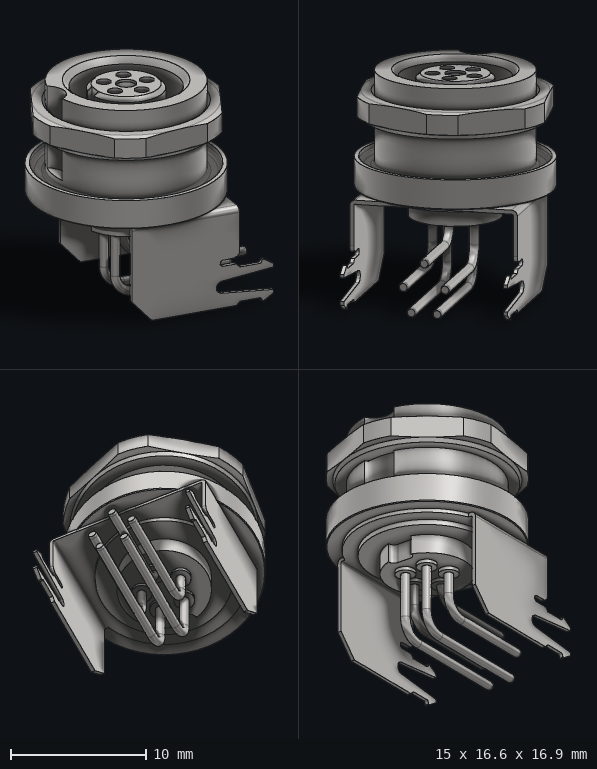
import cadquery as cq
import math


shell_radius = 6.0
flange_radius = 7.5
flange_top = -6.59
flange_bottom = -8.86
flange_edge_chamfer = 0.07
seal_groove_outer_radius = 14.3 / 2
seal_groove_inner_radius = 6.27
seal_groove_depth = 0.65
seal_groove_outer_fillet = 0.34
foot_fillet = seal_groove_inner_radius - shell_radius

bore_radius = 4.23
bore_chamfer = 0.49
bore_floor = -6.07

scallop_radius = 1.55
scallop_depth_radius = 5.04
scallop_floor = flange_top + 0.05

insert_radius = 2.93
insert_top = -0.29
insert_chamfer = 0.34
insert_shoulder_radius = 7.0 / 2
insert_shoulder_top = bore_floor + 0.5
insert_bottom = -11.12
key_slot_width = 1.11
key_slot_floor = insert_shoulder_top + 0.67
key_slot_radius = 2.55
logo_recess_radius = 0.78
logo_recess_depth = 0.2
rear_notch_width = 2.12
rear_notch_floor_width = 1.13
rear_notch_corner = (rear_notch_width - rear_notch_floor_width) / 2

contact_rows = (2, 1, 0, 0, 1)
contact_circle_radius = 1.68
socket_diameter = 1.1
socket_depth = 3.03
socket_tip_angle = 118.0
pin_diameter = 0.7
pin_boss_diameter = 1.55
pin_boss_bottom = -11.4
pin_bend_radius = 1.5
pin_end_y = 8.96
pin_end_chamfer_length = 0.19
pin_end_chamfer_width = 0.05
lowest_pin_axis = -16.85 + pin_diameter / 2
pin_row_pitch = 1.9

nut_across_flats = 14.0
nut_corner_radius = 7.5
nut_rotation = 7.5
nut_top = -1.57
nut_bottom = -3.3
nut_face_radius = nut_across_flats / 2
nut_face_bevel = 0.1
nut_bore_radius = 5.73
nut_bore_chamfer = 0.5
nut_collar_bottom = -3.64
nut_collar_end_radius = 6.84

sheet = 0.32
washer_radius = 6.3
bracket_outer_x = 6.42
bend_radius = 0.44
leg_front_y = -2.51
leg_back_y = 6.27
back_disc_radius = 5.12
back_disc_bottom = -9.6

fork_center_z = -15.05
fork_half_height = 1.67
fork_neck_half_height = 1.38
fork_tip_y = 9.05
fork_tip_outer_half = 1.18
fork_tip_inner_half = 0.9
fork_gap_root_half = 0.47
fork_gap_root_y = 4.8
fork_gap_end_y = 4.4
barb_y = 8.25
barb_flat = 0.15
neck_outer_y = 8.05
neck_fillet = 0.2
neck_inner_y = 6.32
neck_ramp = 0.3
relief_slot_width = 0.49
relief_slot_end_y = 4.7
leg_corner_radius = 0.5
leg_front_chamfer_y = 1.62
leg_front_chamfer_z = 1.74


def cylinder(radius, bottom, top):
    return cq.Workplane("XY").workplane(offset=bottom).circle(radius).extrude(top - bottom)


def revolve_profile(points):
    """Turn a closed (radius, z) outline around the Z axis."""
    return cq.Workplane("XZ").polyline(points).close().revolve(360, (0, 0), (0, 1))


def make_shell():
    shell = cylinder(shell_radius, flange_top - seal_groove_depth, 0)
    flange = (
        cylinder(flange_radius, flange_bottom, flange_top)
        .faces("<Z").edges().chamfer(flange_edge_chamfer)
    )
    groove_floor = flange_top - seal_groove_depth
    groove = (
        cq.Workplane("XZ")
        .moveTo(shell_radius, flange_top)
        .lineTo(shell_radius, groove_floor + foot_fillet)
        .radiusArc((seal_groove_inner_radius, groove_floor), -foot_fillet)
        .lineTo(seal_groove_outer_radius - seal_groove_outer_fillet, groove_floor)
        .radiusArc(
            (seal_groove_outer_radius, groove_floor + seal_groove_outer_fillet),
            -seal_groove_outer_fillet,
        )
        .lineTo(seal_groove_outer_radius, flange_top)
        .close()
        .revolve(360, (0, 0), (0, 1))
    )
    bore = revolve_profile([
        (0, 0),
        (bore_radius + bore_chamfer, 0),
        (bore_radius, -bore_chamfer),
        (bore_radius, bore_floor),
        (0, bore_floor),
    ])
    scallop = cylinder(scallop_radius, scallop_floor, 0).translate(
        (0, -scallop_depth_radius - scallop_radius, 0)
    )
    return shell.union(flange.cut(groove)).cut(bore).cut(scallop)


def make_nut():
    height = nut_top - nut_bottom
    hexagon = (
        cq.Workplane("XY").workplane(offset=nut_bottom)
        .polygon(6, nut_across_flats, circumscribed=True).extrude(height)
        .rotate((0, 0, 0), (0, 0, 1), nut_rotation)
    )
    envelope = revolve_profile([
        (0, nut_bottom),
        (nut_face_radius, nut_bottom),
        (nut_corner_radius, nut_bottom + nut_face_bevel),
        (nut_corner_radius, nut_top - nut_face_bevel),
        (nut_face_radius, nut_top),
        (0, nut_top),
    ])
    collar = revolve_profile([
        (0, nut_collar_bottom),
        (nut_collar_end_radius, nut_collar_bottom),
        (nut_face_radius, nut_bottom),
        (0, nut_bottom),
    ])
    bore = revolve_profile([
        (0, nut_collar_bottom),
        (nut_bore_radius, nut_collar_bottom),
        (nut_bore_radius, nut_top - nut_bore_chamfer),
        (nut_bore_radius + nut_bore_chamfer, nut_top),
        (0, nut_top),
    ])
    return hexagon.intersect(envelope).union(collar).cut(bore)


def contact_positions():
    """Contact centres, starting at +Y and going round counter-clockwise."""
    step = 2 * math.pi / len(contact_rows)
    return [
        (-contact_circle_radius * math.sin(i * step), contact_circle_radius * math.cos(i * step))
        for i in range(len(contact_rows))
    ]


def make_insert():
    insert = (
        cylinder(insert_radius, insert_bottom, insert_top)
        .faces(">Z").edges().chamfer(insert_chamfer)
        .union(cylinder(insert_shoulder_radius, insert_bottom, insert_shoulder_top))
    )
    key_slot = (
        cq.Workplane("XY").workplane(offset=key_slot_floor)
        .center(0, -key_slot_radius - insert_radius / 2)
        .rect(key_slot_width, insert_radius)
        .extrude(insert_top - key_slot_floor)
    )
    notch_outer_y = -insert_shoulder_radius
    notch_floor_y = -math.sqrt(insert_shoulder_radius**2 - (rear_notch_width / 2)**2) + rear_notch_corner
    rear_notch = (
        cq.Workplane("XY").workplane(offset=insert_bottom)
        .moveTo(-rear_notch_width / 2, notch_outer_y)
        .lineTo(-rear_notch_width / 2, notch_floor_y - rear_notch_corner)
        .radiusArc((-rear_notch_floor_width / 2, notch_floor_y), rear_notch_corner)
        .lineTo(rear_notch_floor_width / 2, notch_floor_y)
        .radiusArc((rear_notch_width / 2, notch_floor_y - rear_notch_corner), rear_notch_corner)
        .lineTo(rear_notch_width / 2, notch_outer_y)
        .close()
        .extrude(back_disc_bottom - insert_bottom)
    )
    logo_recess = cylinder(logo_recess_radius, insert_top - logo_recess_depth, insert_top)
    insert = insert.cut(key_slot).cut(rear_notch).cut(logo_recess)

    socket_radius = socket_diameter / 2
    tip_length = socket_radius / math.tan(math.radians(socket_tip_angle / 2))
    socket = revolve_profile([
        (0, insert_top),
        (socket_radius, insert_top),
        (socket_radius, insert_top - socket_depth),
        (0, insert_top - socket_depth - tip_length),
    ])
    for x, y in contact_positions():
        insert = insert.cut(socket.translate((x, y, 0)))
    return insert


def make_pin(x, y, row):
    """Boss and round pin that drops from the insert and bends toward +Y."""
    axis_z = lowest_pin_axis + row * pin_row_pitch
    path = (
        cq.Workplane("YZ").workplane(offset=x)
        .moveTo(y, insert_bottom)
        .lineTo(y, axis_z + pin_bend_radius)
        .radiusArc((y + pin_bend_radius, axis_z), -pin_bend_radius)
        .lineTo(pin_end_y, axis_z)
    )
    pin = (
        cq.Workplane("XY").workplane(offset=insert_bottom).center(x, y)
        .circle(pin_diameter / 2).sweep(path)
        .faces(">Y").edges().chamfer(pin_end_chamfer_length, pin_end_chamfer_width)
    )
    boss = cylinder(pin_boss_diameter / 2, pin_boss_bottom, insert_bottom).translate((x, y, 0))
    return boss.union(pin)


def leg_angle_section():
    """Strip of the flat plate, the bend and the leg, as one length of angle along Y."""
    straight_x = bracket_outer_x - bend_radius
    top = flange_bottom
    bottom = fork_center_z - fork_half_height
    return (
        cq.Workplane("XZ", origin=(0, fork_tip_y, 0))
        .moveTo(back_disc_radius, top)
        .lineTo(straight_x, top)
        .radiusArc((bracket_outer_x, top - bend_radius), bend_radius)
        .lineTo(bracket_outer_x, bottom)
        .lineTo(bracket_outer_x - sheet, bottom)
        .lineTo(bracket_outer_x - sheet, top - bend_radius)
        .radiusArc((straight_x, top - sheet), sheet - bend_radius)
        .lineTo(back_disc_radius, top - sheet)
        .close()
        .extrude(fork_tip_y - leg_front_y)
    )


def fork_prong_points(side):
    """(y, z) corners of one prong, from the leg out to the tip and back along the gap.

    The side is +1 for the upper prong and -1 for the lower one.
    """
    corners = [
        (neck_inner_y - neck_ramp, fork_half_height),
        (neck_inner_y, fork_neck_half_height),
        (neck_outer_y, fork_neck_half_height),
        (barb_y - barb_flat, fork_half_height),
        (barb_y, fork_half_height),
        (fork_tip_y, fork_tip_outer_half),
        (fork_tip_y, fork_tip_inner_half),
        (fork_gap_root_y, fork_gap_root_half),
    ]
    return [(y, fork_center_z + side * half) for y, half in corners]


def leg_side_outline():
    """Side outline of the leg and its fork, extruded across the whole +X half."""
    upper = fork_prong_points(1)
    lower = fork_prong_points(-1)
    bottom = fork_center_z - fork_half_height
    slot_bottom = fork_center_z + fork_half_height
    slot_top = slot_bottom + relief_slot_width
    slot_round = relief_slot_width / 2
    outline = (
        cq.Workplane("YZ")
        .moveTo(leg_front_y, flange_bottom)
        .lineTo(leg_back_y, flange_bottom)
        .lineTo(leg_back_y, slot_top + leg_corner_radius)
        .radiusArc((leg_back_y - leg_corner_radius, slot_top), leg_corner_radius)
        .lineTo(relief_slot_end_y + slot_round, slot_top)
        .threePointArc(
            (relief_slot_end_y, slot_top - slot_round),
            (relief_slot_end_y + slot_round, slot_bottom),
        )
    )
    for y, z in upper:
        outline = outline.lineTo(y, z)
    outline = outline.threePointArc((fork_gap_end_y, fork_center_z), lower[-1])
    for y, z in reversed(lower[:-1]):
        outline = outline.lineTo(y, z)
    return (
        outline
        .lineTo(leg_front_y + leg_front_chamfer_y, bottom)
        .lineTo(leg_front_y, bottom + leg_front_chamfer_z)
        .close()
        .extrude(bracket_outer_x)
    )


def make_leg():
    """Bracket leg on the +X side, with its bend and snap-in fork."""
    leg = leg_angle_section().intersect(leg_side_outline())
    for side in (1, -1):
        corner = (bracket_outer_x, neck_outer_y, fork_center_z + side * fork_neck_half_height)
        leg = leg.edges("|X").edges(cq.selectors.NearestToPointSelector(corner)).fillet(neck_fillet)
    return leg


def make_bracket():
    """Washer with straight sides, a square back plate and two mirrored legs."""
    plate_bottom = flange_bottom - sheet
    plate_half_width = math.sqrt(washer_radius**2 - leg_front_y**2)
    straight_sides = (
        cq.Workplane("XY").workplane(offset=plate_bottom)
        .rect(2 * plate_half_width, 2 * washer_radius).extrude(sheet)
    )
    back_plate = (
        cq.Workplane("XY").workplane(offset=plate_bottom)
        .center(0, leg_back_y / 2)
        .rect(2 * plate_half_width, leg_back_y).extrude(sheet)
    )
    washer = cylinder(washer_radius, plate_bottom, flange_bottom).intersect(straight_sides)
    leg = make_leg()
    return washer.union(back_plate).union(leg).union(leg.mirror("YZ"))


back_disc = cylinder(back_disc_radius, back_disc_bottom, flange_bottom)
result = make_shell().union(make_nut()).union(make_insert()).union(back_disc).union(make_bracket())
for (pin_x, pin_y), pin_row in zip(contact_positions(), contact_rows):
    result = result.union(make_pin(pin_x, pin_y, pin_row))